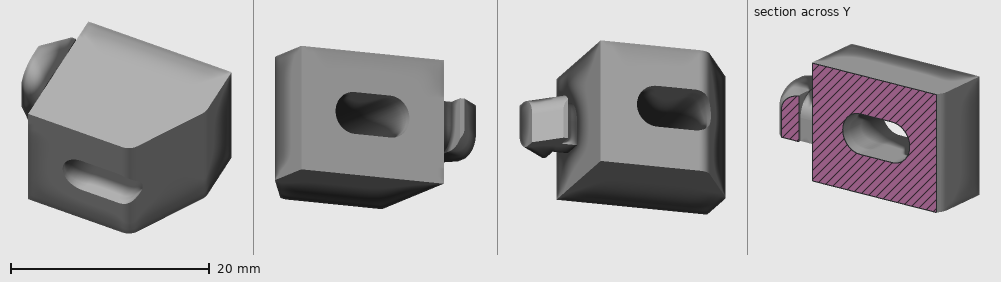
import cadquery as cq
import math

body_length = 16.0
body_depth = 14.0
body_height = 12.7
head_to_body_back = 4.0
bevel_depth = 8.0
bevel_angle = 60.0
bevel_corner_radius = 1.5

slot_length = 8.3
slot_width = 4.3

neck_length = 1.6
neck_width = 5.0
head_thickness = 3.0
head_width = 9.0
head_height = neck_width
head_lip = 0.5
head_round_radius = 2.0

body_back = head_to_body_back
body_front = body_back - body_depth
bevel_length = bevel_depth / math.tan(math.radians(bevel_angle))
head_rear = -neck_length
head_nose = head_rear - head_thickness


def make_body():
    """Block with one slanted corner whose two vertical edges are rounded."""
    bevel_start = (body_length - bevel_length, body_front)
    bevel_end = (body_length, body_front + bevel_depth)
    block = (
        cq.Workplane("XY")
        .workplane(offset=-body_height / 2)
        .moveTo(0, body_front)
        .lineTo(*bevel_start)
        .lineTo(*bevel_end)
        .lineTo(body_length, body_back)
        .lineTo(0, body_back)
        .close()
        .extrude(body_height)
    )
    for corner in (bevel_start, bevel_end):
        edge = cq.selectors.NearestToPointSelector((*corner, 0))
        block = block.edges("|Z").edges(edge).fillet(bevel_corner_radius)
    return block


def make_slot():
    """Round-ended cutter through the full depth of the body."""
    return (
        cq.Workplane("XZ", origin=(body_length / 2, body_back, 0))
        .slot2D(slot_length, slot_width)
        .extrude(body_depth)
    )


def round_opposite_edges(solid, x, half_width, half_height, radius):
    """Round the upper -Y edge and the lower +Y edge passing nearest the given x."""
    for side in (-1, 1):
        edge = cq.selectors.NearestToPointSelector((x, side * half_width, -side * half_height))
        solid = solid.edges(edge).fillet(radius)
    return solid


def make_neck():
    """Neck between head and body, rounded so that it can turn in a groove."""
    half_width = neck_width / 2
    neck = cq.Workplane("XY").box(neck_length, neck_width, neck_width).translate((head_rear / 2, 0, 0))
    return round_opposite_edges(neck, head_rear / 2, half_width, half_width, half_width)


def make_head():
    """Head with 45 degree flanks, two rounded flank edges and blunt tips."""
    rear_half = head_width / 2 + head_lip
    nose_half = rear_half - head_thickness
    wedge = (
        cq.Workplane("XY")
        .workplane(offset=-head_height / 2)
        .polyline([
            (head_rear, -rear_half),
            (head_rear, rear_half),
            (head_nose, nose_half),
            (head_nose, -nose_half),
        ])
        .close()
        .extrude(head_height)
    )
    flank_middle_x = (head_rear + head_nose) / 2
    flank_middle_y = (rear_half + nose_half) / 2
    wedge = round_opposite_edges(
        wedge, flank_middle_x, flank_middle_y, head_height / 2, head_round_radius
    )
    tip_limits = (
        cq.Workplane("XY")
        .box(head_thickness, head_width, head_height)
        .translate((flank_middle_x, 0, 0))
    )
    return wedge.intersect(tip_limits)


result = make_body().cut(make_slot()).union(make_neck()).union(make_head())